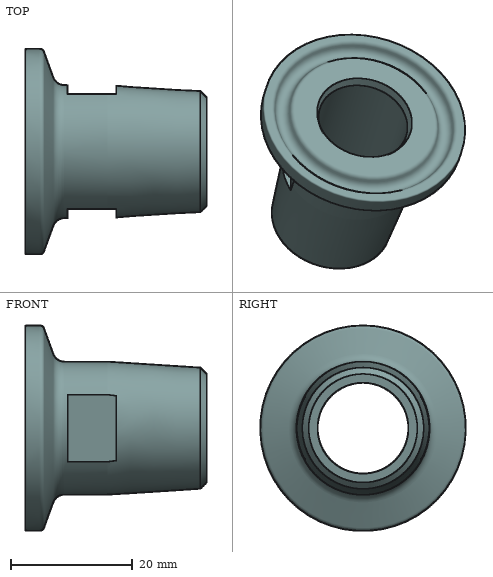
import cadquery as cq
import math

length = 30.0

flange_radius = 17.0
rim_edge_round = 0.25
rim_end = 2.38
back_angle = math.radians(20)
back_round = 0.78

neck_radius = 11.0
taper_start = 13.55
spigot_end_radius = 10.03
end_chamfer = 1.05
neck_round = 1.9

bore_radius = 7.48
mouth_radius = 8.0
mouth_depth = 1.3

groove_radius = 13.75
groove_lip_half_width = 2.0
groove_wall_angle = math.radians(60)
groove_lip_round = 0.78
groove_floor_round = 1.3

flat_start = 7.0
flat_length = 8.02
flat_offset = 9.52


def point_on_arc(center, radius, angle):
    """Point at an angle from +X, as (axial, radial)."""
    return (
        center[0] + radius * math.cos(angle),
        center[1] + radius * math.sin(angle),
    )


def revolve_about_axis(outline):
    return outline.close().revolve(360, (0, 0, 0), (1, 0, 0))


def make_body():
    back_center = (rim_end, flange_radius - back_round)
    slope_start = point_on_arc(back_center, back_round, back_angle)

    slope_end_radius = neck_radius + neck_round * (1 - math.sin(back_angle))
    slope_end_x = slope_start[0] + (slope_start[1] - slope_end_radius) * math.tan(back_angle)
    neck_start = slope_end_x + neck_round * math.cos(back_angle)
    neck_center = (neck_start, neck_radius + neck_round)
    neck_mid_angle = (math.pi + back_angle + 1.5 * math.pi) / 2
    back_mid_angle = (back_angle + math.pi / 2) / 2
    rim_center = (rim_edge_round, flange_radius - rim_edge_round)
    outline = (
        cq.Workplane("XZ")
        .moveTo(0, 0)
        .lineTo(0, rim_center[1])
        .threePointArc(
            point_on_arc(rim_center, rim_edge_round, 0.75 * math.pi),
            (rim_edge_round, flange_radius),
        )
        .lineTo(rim_end, flange_radius)
        .threePointArc(point_on_arc(back_center, back_round, back_mid_angle), slope_start)
        .lineTo(slope_end_x, slope_end_radius)
        .threePointArc(
            point_on_arc(neck_center, neck_round, neck_mid_angle),
            (neck_start, neck_radius),
        )
        .lineTo(taper_start, neck_radius)
        .lineTo(length - end_chamfer, spigot_end_radius)
        .lineTo(length, spigot_end_radius - end_chamfer)
        .lineTo(length, 0)
    )
    return revolve_about_axis(outline)


def make_bore():
    outline = (
        cq.Workplane("XZ")
        .moveTo(0, 0)
        .lineTo(0, mouth_radius)
        .lineTo(mouth_depth, bore_radius)
        .lineTo(length, bore_radius)
        .lineTo(length, 0)
    )
    return revolve_about_axis(outline)


def make_groove():
    """Round-bottomed ring groove with straight walls and rounded lips."""
    sine = math.sin(groove_wall_angle)
    cosine = math.cos(groove_wall_angle)
    half_sine = math.sin(groove_wall_angle / 2)
    half_cosine = math.cos(groove_wall_angle / 2)

    lip_depth = groove_lip_round * (1 - cosine)
    lip_mid_depth = groove_lip_round * (1 - half_cosine)
    wall_top = groove_lip_half_width - groove_lip_round * sine
    lip_mid = groove_lip_half_width - groove_lip_round * half_sine
    wall_bottom = groove_floor_round * sine
    wall_depth = lip_depth + (wall_top - wall_bottom) * math.tan(groove_wall_angle)
    floor_depth = wall_depth + groove_floor_round * (1 - cosine)

    outline = (
        cq.Workplane("XZ")
        .moveTo(0, groove_radius + groove_lip_half_width)
        .threePointArc((lip_mid_depth, groove_radius + lip_mid), (lip_depth, groove_radius + wall_top))
        .lineTo(wall_depth, groove_radius + wall_bottom)
        .threePointArc((floor_depth, groove_radius), (wall_depth, groove_radius - wall_bottom))
        .lineTo(lip_depth, groove_radius - wall_top)
        .threePointArc((lip_mid_depth, groove_radius - lip_mid), (0, groove_radius - groove_lip_half_width))
    )
    return revolve_about_axis(outline)


def cut_flats(body):
    """Cut one wrench flat on each Y side of the neck."""
    cutter_depth = neck_radius
    for side in (-1, 1):
        cutter = (
            cq.Workplane("XY")
            .box(flat_length, cutter_depth, 2 * neck_radius)
            .translate((flat_start + flat_length / 2, side * (flat_offset + cutter_depth / 2), 0))
        )
        body = body.cut(cutter)
    return body


result = cut_flats(make_body().cut(make_bore()).cut(make_groove()))